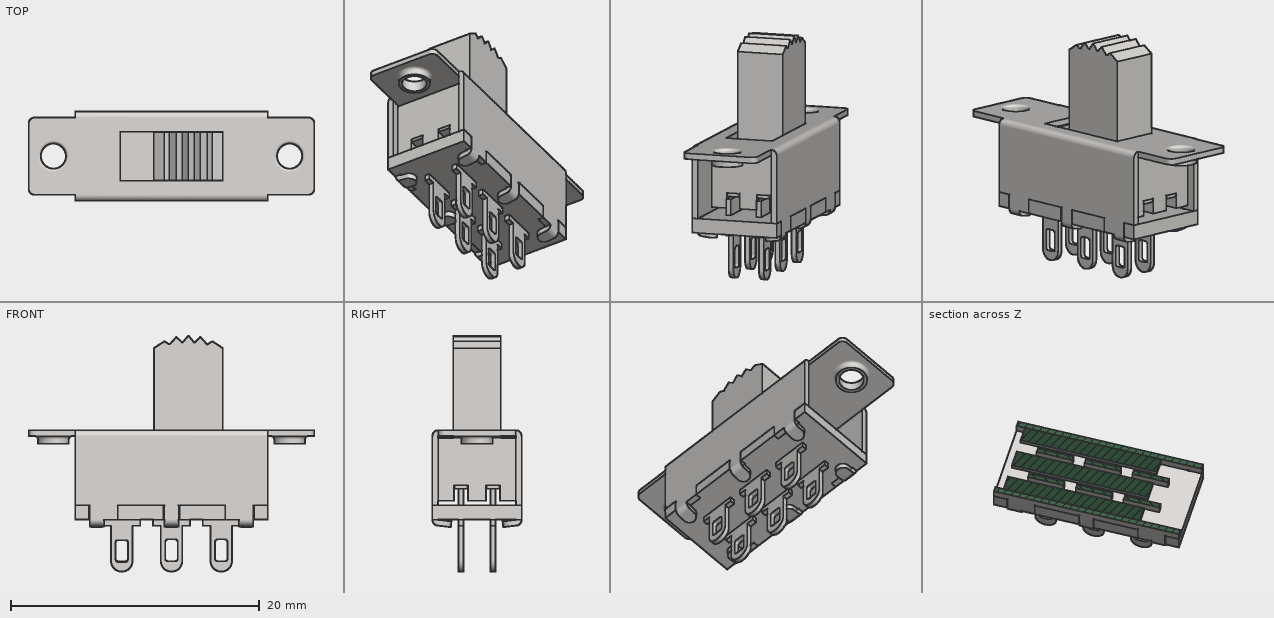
import cadquery as cq
import math


frame_length = 15.5
frame_width = 7.2
frame_height = 7.2
sheet = 0.48
inner_width = frame_width - 2 * sheet
inner_side = inner_width / 2
window_length = 8.28
window_width = 3.93

flange_span = 23.0
flange_corner = 0.5
hole_spacing = 19.0
hole_diameter = 2.0
collar_diameter = 2.5
collar_depth = 1.1
collar_wall = (collar_diameter - hole_diameter) / 2

leg_outer_x = 6.58
leg_inner_x = 4.32
tab_width = 1.15
tab_length = 1.08
tab_slope = math.radians(7)
leg_gap = 0.07

base_height = 1.17
terminal_pitch = 4.0
terminal_row_y = 1.29
terminal_thickness = 0.41
blade_width = 3.0
blade_top = 2.48
shoulder_depth = 0.5
lug_width = 1.75
lug_depth = 4.19
eye_width = 1.0
eye_height = 1.75
eye_depth = 2.45
eye_corner = 0.2
low_eye_shift = 0.07

knob_length = 5.57
knob_width = 3.85
knob_x = (window_length - knob_length) / 2
knob_top = 14.81
slider_length = 11.4
slider_bottom = 1.52
slider_top = 6.58
channel_width = 1.1
channel_roof = 2.75
clip_width = 1.01

crest_half = [
    (0.48, 0.58),
    (0.97, 0.12),
    (1.52, 0.71),
    (1.93, 0.45),
    (knob_length / 2, 1.01),
]


def box(length, width, bottom, top, x=0, y=0):
    """Box centred at (x, y) between two heights."""
    block = cq.Workplane("XY").box(length, width, top - bottom, centered=(True, True, False))
    return block.translate((x, y, bottom))


def leg_spans(gap):
    """X ranges of the three legs on one wall; the gap widens the sides next to a tab."""
    tab_side = tab_width / 2 + gap
    outer_side = leg_outer_x + gap
    return [(-outer_side, -leg_inner_x), (-tab_side, tab_side), (leg_inner_x, outer_side)]


def wall_legs(gap):
    """Lower ends of both side walls, one box per leg."""
    legs = cq.Workplane("XY")
    wall_y = inner_side + sheet / 2
    for start, end in leg_spans(gap):
        for y in (-wall_y, wall_y):
            legs = legs.union(box(end - start, sheet, 0, base_height, (start + end) / 2, y))
    return legs


def bent_tab(x):
    """Tab on the +Y wall, bent inward under the base and ending in a half round."""
    slope_sin = math.sin(tab_slope)
    slope_cos = math.cos(tab_slope)
    half_turn = (tab_slope - math.pi / 2) / 2
    bend = (
        cq.Workplane("YZ")
        .moveTo(inner_side, 0)
        .lineTo(inner_side + sheet, 0)
        .threePointArc(
            (inner_side + sheet * math.cos(half_turn), sheet * math.sin(half_turn)),
            (inner_side + sheet * slope_sin, -sheet * slope_cos),
        )
        .close()
        .extrude(tab_width / 2, both=True)
    )
    tab_plane = cq.Plane(
        origin=(0, inner_side, 0), xDir=(1, 0, 0), normal=(0, slope_sin, -slope_cos)
    )
    straight = tab_length - tab_width / 2
    plate = (
        cq.Workplane(tab_plane)
        .moveTo(-tab_width / 2, 0)
        .lineTo(-tab_width / 2, straight)
        .threePointArc((0, tab_length), (tab_width / 2, straight))
        .lineTo(tab_width / 2, 0)
        .close()
        .extrude(sheet)
    )
    return bend.union(plate).translate((x, 0, 0))


def collar(x):
    """Ring below a flange, flared where it leaves the sheet."""
    hole_radius = hole_diameter / 2
    outer_radius = collar_diameter / 2
    flare = collar_wall
    flare_mid = flare * math.sqrt(0.5)
    ring = (
        cq.Workplane("XZ")
        .moveTo(hole_radius, -sheet)
        .lineTo(hole_radius, -collar_depth)
        .lineTo(outer_radius, -collar_depth)
        .lineTo(outer_radius, -sheet - flare)
        .threePointArc(
            (outer_radius + flare - flare_mid, -sheet - flare + flare_mid),
            (outer_radius + flare, -sheet),
        )
        .close()
        .revolve(360, (0, 0, 0), (0, 1, 0))
    )
    return ring.translate((x, 0, frame_height))


def mounting_hole(x):
    """Cutter for a flange hole with a rounded entry."""
    hole_radius = hole_diameter / 2
    entry = collar_wall
    entry_mid = entry * math.sqrt(0.5)
    cutter = (
        cq.Workplane("XZ")
        .lineTo(hole_radius + entry, 0)
        .threePointArc(
            (hole_radius + entry - entry_mid, -entry + entry_mid), (hole_radius, -entry)
        )
        .lineTo(hole_radius, -collar_depth)
        .lineTo(0, -collar_depth)
        .close()
        .revolve(360, (0, 0, 0), (0, 1, 0))
    )
    return cutter.translate((x, 0, frame_height))


def make_frame():
    body = box(frame_length, frame_width, base_height, frame_height)
    body = body.edges("|X and >Z").fillet(sheet)
    ceiling = frame_height - sheet
    body = body.cut(box(frame_length, inner_width, base_height, ceiling))
    body = body.union(wall_legs(0))

    outer_tab_x = leg_outer_x - tab_width / 2
    for x in (-outer_tab_x, 0, outer_tab_x):
        tab = bent_tab(x)
        body = body.union(tab).union(tab.mirror("XZ"))

    flanges = box(flange_span, inner_width, ceiling, frame_height)
    body = body.union(flanges.edges("|Z").fillet(flange_corner))
    for x in (-hole_spacing / 2, hole_spacing / 2):
        body = body.union(collar(x)).cut(mounting_hole(x))

    return body.cut(box(window_length, window_width, ceiling, frame_height))


def terminal(x, y, eye_shift):
    """Flat terminal: wide blade through the base, round-ended lug with an eye below."""
    lug_radius = lug_width / 2
    plate = (
        cq.Workplane("XZ")
        .moveTo(-blade_width / 2, blade_top)
        .lineTo(-blade_width / 2, -shoulder_depth)
        .lineTo(-lug_radius, -shoulder_depth)
        .lineTo(-lug_radius, lug_radius - lug_depth)
        .threePointArc((0, -lug_depth), (lug_radius, lug_radius - lug_depth))
        .lineTo(lug_radius, -shoulder_depth)
        .lineTo(blade_width / 2, -shoulder_depth)
        .lineTo(blade_width / 2, blade_top)
        .close()
        .extrude(terminal_thickness / 2, both=True)
    )
    eye = cq.Workplane("XY").box(eye_width, terminal_thickness, eye_height)
    eye = eye.edges("|Y").fillet(eye_corner).translate((0, 0, -eye_depth - eye_shift))
    return plate.cut(eye).translate((x, y, 0))


def make_base():
    """Base block, notched for the frame legs, with its two rows of terminals."""
    body = box(frame_length, frame_width, 0, base_height).cut(wall_legs(leg_gap))
    for column in (-1, 0, 1):
        for row in (-1, 1):
            eye_shift = low_eye_shift if column == row == -1 else 0
            body = body.union(terminal(column * terminal_pitch, row * terminal_row_y, eye_shift))
    return body


def make_knob():
    """Knob with a ridged crest, standing on the slider's top face."""
    left_crest = [(-x, knob_top - drop) for x, drop in reversed(crest_half)]
    right_crest = [(x, knob_top - drop) for x, drop in crest_half]
    outline = [
        (-knob_length / 2, slider_top),
        *left_crest,
        (0, knob_top),
        *right_crest,
        (knob_length / 2, slider_top),
    ]
    knob = cq.Workplane("XZ").polyline(outline).close().extrude(knob_width / 2, both=True)
    return knob.translate((knob_x, 0, 0))


def make_slider():
    body = box(slider_length, inner_width, slider_bottom, slider_top, knob_x)
    for y in (-terminal_row_y, terminal_row_y):
        body = body.cut(box(slider_length, channel_width, slider_bottom, channel_roof, knob_x, y))
    return body.union(make_knob())


def make_clip(y):
    """Contact strip between a slider channel's roof and the terminal blades."""
    return box(slider_length, clip_width, blade_top, channel_roof, knob_x, y)


frame = make_frame()
base = make_base()
slider = make_slider()
clips = [make_clip(y) for y in (-terminal_row_y, terminal_row_y)]

result = cq.Compound.makeCompound(
    [frame.val(), base.val(), slider.val(), *[clip.val() for clip in clips]]
)